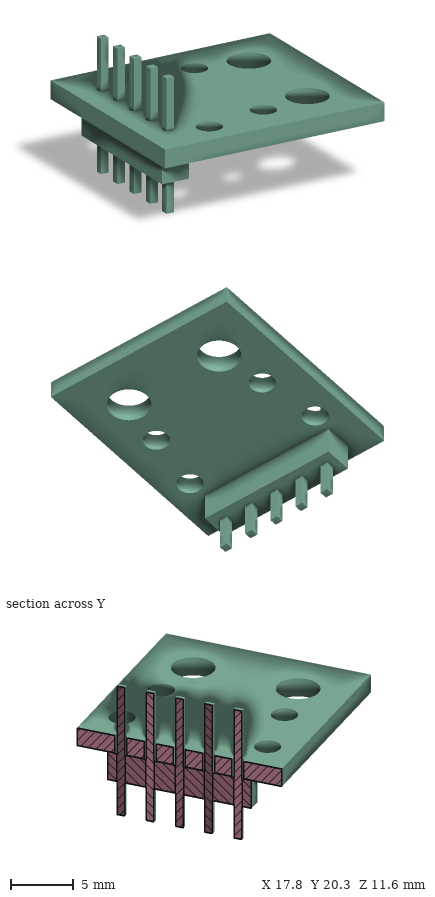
import cadquery as cq

board_width = 17.78
board_length = 20.32
board_thickness = 1.6
front_edge = -board_length / 2

large_hole_diameter = 3.55
small_hole_diameter = 2.17
hole_pairs = [
    (4.55, 15.77, large_hole_diameter),
    (5.35, 11.22, small_hole_diameter),
    (6.32, 5.63, small_hole_diameter),
]

pin_count = 5
pin_pitch = 2.55
pin_side = 0.7
pin_length = 11.55
pin_height_above_board = 4.47
pin_hole_diameter = 1.0
pin_row_y = front_edge + 2.56
pin_row_points = [((i - (pin_count - 1) / 2) * pin_pitch, pin_row_y) for i in range(pin_count)]
pin_bottom_z = board_thickness + pin_height_above_board - pin_length

header_width = 12.5
header_depth = 2.5
header_height = 2.5


def make_board():
    """Flat plate with three mirrored pairs of holes and a row of round pin holes."""
    board = cq.Workplane("XY").rect(board_width, board_length).extrude(board_thickness)
    for half_spacing, front_distance, diameter in hole_pairs:
        y = front_edge + front_distance
        holes = (
            cq.Workplane("XY")
            .pushPoints([(-half_spacing, y), (half_spacing, y)])
            .circle(diameter / 2)
            .extrude(board_thickness)
        )
        board = board.cut(holes)
    pin_holes = (
        cq.Workplane("XY")
        .pushPoints(pin_row_points)
        .circle(pin_hole_diameter / 2)
        .extrude(board_thickness)
    )
    return board.cut(pin_holes)


def make_header():
    """Rectangular strip under the board with square holes that fit the pins."""
    header = (
        cq.Workplane("XY")
        .center(0, pin_row_y)
        .rect(header_width, header_depth)
        .extrude(-header_height)
    )
    pin_slots = (
        cq.Workplane("XY")
        .pushPoints(pin_row_points)
        .rect(pin_side, pin_side)
        .extrude(-header_height)
    )
    return header.cut(pin_slots)


def make_pin(x, y):
    """Square pin running through the header and the board."""
    return (
        cq.Workplane("XY", origin=(x, y, pin_bottom_z))
        .rect(pin_side, pin_side)
        .extrude(pin_length)
    )


board = make_board()
header = make_header()
pins = [make_pin(x, y) for x, y in pin_row_points]

result = cq.Compound.makeCompound([board.val(), header.val(), *[pin.val() for pin in pins]])